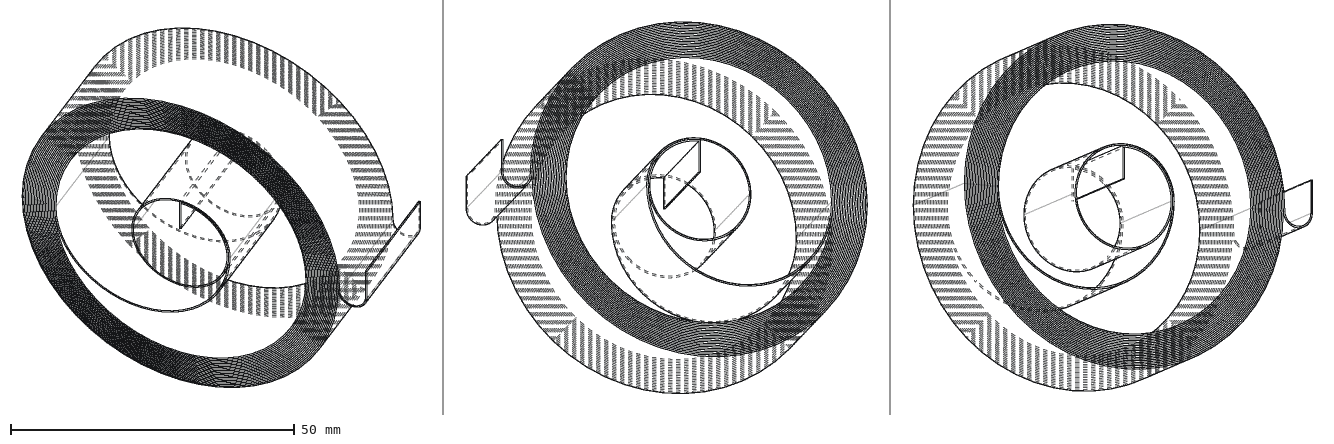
import cadquery as cq
import math

strip_width = 22.0
winding_pitch = 0.3
turn_clearance = 0.002
strip_thickness = winding_pitch - turn_clearance

coil_outer_radius = 31.0
coil_turns = 21

ring_inner_radius = 9.0
tab_length = 6.0

hook_inner_radius = 2.5
hook_leg_length = 6.0

ring_start_radius = ring_inner_radius + winding_pitch
coil_start_radius = coil_outer_radius - coil_turns * winding_pitch


def winding_ends():
    """X of the strip's outer surface after each half turn; lower and upper halves alternate."""
    ring_ends = [
        ring_start_radius,
        -(ring_start_radius + winding_pitch),
        ring_start_radius + winding_pitch,
    ]
    coil_ends = [-coil_start_radius]
    for turn in range(coil_turns):
        radius = coil_start_radius + turn * winding_pitch
        coil_ends += [radius, -(radius + winding_pitch)]
    return ring_ends + coil_ends + [coil_outer_radius]


def toward_centre(x, distance):
    """Move a point of the X axis towards the spring's centre."""
    return x - distance if x > 0 else x + distance


def half_turn(wire, start, end, side):
    """Add a half circle between two points of the X axis; side is +1 above it and -1 below."""
    middle = ((start + end) / 2, side * abs(end - start) / 2)
    return wire.threePointArc(middle, (end, 0))


def top_quarter_middle(radius):
    """Middle of the quarter circle between the ring's top and its +X side."""
    leg = radius * math.sqrt(0.5)
    return (leg, leg)


def wind(wire, ends, first_side):
    """Add half turns through the given ends, on alternating sides of the X axis."""
    side = first_side
    for start, end in zip(ends, ends[1:]):
        wire = half_turn(wire, start, end, side)
        side = -side
    return wire


def strip_profile():
    """Closed outline of the strip in the XZ plane."""
    outer_ends = winding_ends()
    inner_ends = [toward_centre(x, strip_thickness) for x in outer_ends]
    inner_start_radius = ring_start_radius - strip_thickness
    tab_top = math.sqrt(ring_start_radius**2 - strip_thickness**2)
    tab_tip = ring_start_radius - tab_length
    hook_near = coil_outer_radius
    hook_far = hook_near + 2 * hook_inner_radius

    wire = cq.Workplane("XZ").moveTo(0, tab_tip).lineTo(-strip_thickness, tab_tip)
    wire = wire.lineTo(-strip_thickness, tab_top)
    wire = wire.threePointArc(top_quarter_middle(ring_start_radius), (ring_start_radius, 0))
    wire = wind(wire, outer_ends, -1)
    wire = half_turn(wire, hook_near, hook_far, -1)
    wire = wire.lineTo(hook_far, hook_leg_length)

    wire = wire.lineTo(hook_far + strip_thickness, hook_leg_length)
    wire = wire.lineTo(hook_far + strip_thickness, 0)
    wire = half_turn(wire, hook_far + strip_thickness, hook_near - strip_thickness, -1)
    wire = wind(wire, inner_ends[::-1], 1)
    wire = wire.threePointArc(top_quarter_middle(inner_start_radius), (0, inner_start_radius))
    return wire.close()


result = strip_profile().extrude(strip_width / 2, both=True)